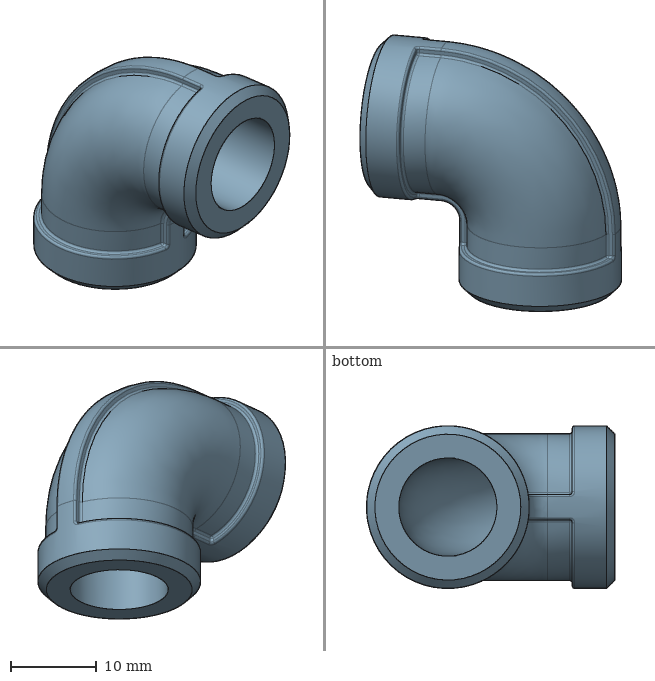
import cadquery as cq

overall_size = 29.0
collar_diameter = 19.0
pipe_diameter = 17.17
bore_diameter = 11.45
bend_radius = 11.6
collar_length = 5.0
collar_chamfer = 1.0
rib_width = 3.0
edge_round = 0.3

arm_length = overall_size - collar_diameter / 2
recess_end = arm_length - collar_length


def swept_elbow(diameter, reach):
    """Round bar from (0, 0, -reach) round the bend to (reach, 0, 0)."""
    middle = bend_radius * (1 - 0.5 ** 0.5)
    path = (
        cq.Workplane("XZ")
        .moveTo(0, -reach)
        .lineTo(0, -bend_radius)
        .threePointArc((middle, -middle), (bend_radius, 0))
        .lineTo(reach, 0)
    )
    return cq.Workplane("XY", origin=(0, 0, -reach)).circle(diameter / 2).sweep(path)


def side_recess(side):
    """Material removed between the collars on one side of the central rib."""
    sleeve = swept_elbow(collar_diameter, recess_end).cut(swept_elbow(pipe_diameter, recess_end))
    half_space = cq.Workplane("XY").box(3 * overall_size, overall_size, 3 * overall_size)
    return sleeve.intersect(half_space.translate((0, side * (overall_size + rib_width) / 2, 0)))


body = swept_elbow(collar_diameter, arm_length)
for side in (1, -1):
    body = body.cut(side_recess(side))

recess_walls = body.faces("%PLANE").faces("not(>X or <Z)")
body = recess_walls.edges().fillet(edge_round)

body = body.faces(">X or <Z").edges().chamfer(collar_chamfer)

result = body.cut(swept_elbow(bore_diameter, arm_length))